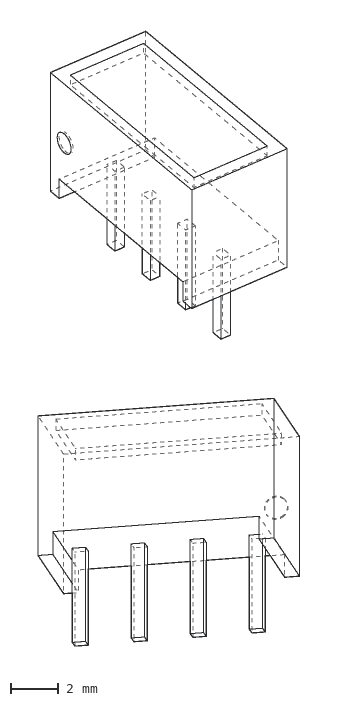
import cadquery as cq

length = 10.16
width = 4.95
housing_height = 6.23
foot_height = 1.02
foot_length = 0.64

window_length = length - 2 * foot_length
window_width = 3.8
window_depth = 0.51

marker_diameter = 1.0
marker_depth = 0.1
marker_x = -length / 2 + 1.0
marker_z = housing_height / 2

total_height = 9.41
pin_count = 4
pin_pitch = 2.54
pin_size_x = 0.58
pin_size_y = 0.5
pin_bottom = housing_height - total_height
pin_length = foot_height - pin_bottom


def make_window():
    return (
        cq.Workplane("XY", origin=(0, 0, housing_height - window_depth))
        .rect(window_length, window_width)
        .extrude(window_depth)
    )


def make_marker():
    return (
        cq.Workplane("XZ", origin=(marker_x, -width / 2, marker_z))
        .circle(marker_diameter / 2)
        .extrude(-marker_depth)
    )


def make_housing(window, marker):
    block = cq.Workplane("XY").rect(length, width).extrude(housing_height)
    gap_between_feet = (
        cq.Workplane("XY")
        .rect(length - 2 * foot_length, width)
        .extrude(foot_height)
    )
    return block.cut(gap_between_feet).cut(window).cut(marker)


def make_pin(x):
    return (
        cq.Workplane("XY", origin=(x, 0, pin_bottom))
        .rect(pin_size_x, pin_size_y)
        .extrude(pin_length)
    )


window = make_window()
marker = make_marker()
housing = make_housing(window, marker)

first_pin_x = -pin_pitch * (pin_count - 1) / 2
pins = [make_pin(first_pin_x + i * pin_pitch) for i in range(pin_count)]

result = cq.Compound.makeCompound(
    [housing.val(), window.val(), marker.val(), *[pin.val() for pin in pins]]
)